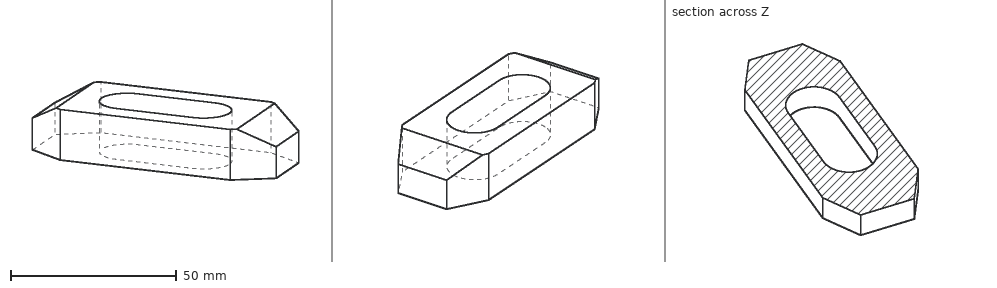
import cadquery as cq
import math

length = 80.0
width = 32.0
height = 16.0

taper_angle = math.radians(30)
end_width = 18.0
end_height = 10.0
side_taper_length = (width - end_width) / 2 / math.tan(taper_angle)
top_taper_length = (height - end_height) / math.tan(taper_angle)

slot_length = 42.0
slot_width = 17.0


def plan_body():
    """Plate whose four vertical corners are cut back towards the ends."""
    half_length = length / 2
    half_side = half_length - side_taper_length
    outline = [
        (-half_length, -end_width / 2),
        (-half_side, -width / 2),
        (half_side, -width / 2),
        (half_length, -end_width / 2),
        (half_length, end_width / 2),
        (half_side, width / 2),
        (-half_side, width / 2),
        (-half_length, end_width / 2),
    ]
    return cq.Workplane("XY").polyline(outline).close().extrude(height)


def side_profile():
    """Full-width prism whose top slopes down to both ends."""
    half_length = length / 2
    half_top = half_length - top_taper_length
    outline = [
        (-half_length, 0),
        (half_length, 0),
        (half_length, end_height),
        (half_top, height),
        (-half_top, height),
        (-half_length, end_height),
    ]
    return cq.Workplane("XZ").polyline(outline).close().extrude(width / 2, both=True)


def through_slot():
    return cq.Workplane("XY").slot2D(slot_length, slot_width).extrude(height)


result = plan_body().intersect(side_profile()).cut(through_slot())